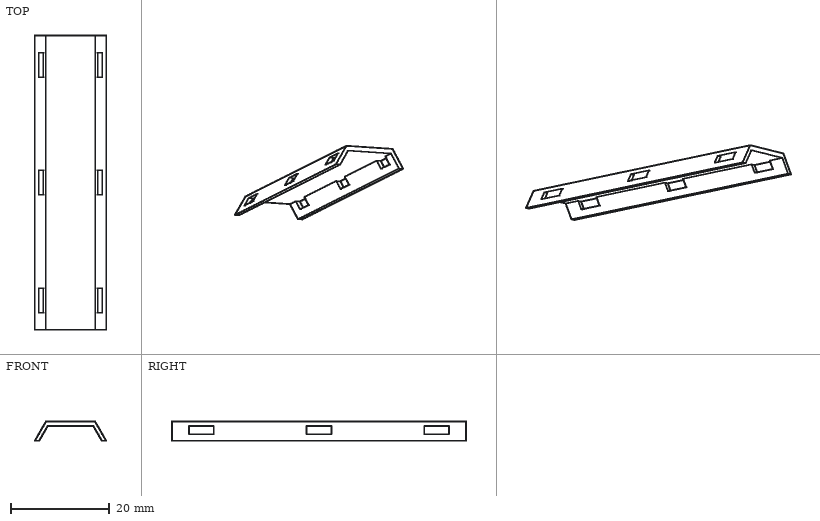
import cadquery as cq
import math

length = 60.0
height = 4.0
top_width = 10.0
top_thickness = 1.0
leg_angle = 60.0
leg_thickness = 0.8

slot_length = 5.0
slot_height = 1.6
slot_pitch = 24.0
slot_top = height - top_thickness

leg_width = leg_thickness / math.sin(math.radians(leg_angle))
leg_run_per_height = 1 / math.tan(math.radians(leg_angle))
base_width = top_width + 2 * height * leg_run_per_height


def half_width_at(z):
    """Distance from the centre plane to the outer leg face at height z."""
    return top_width / 2 + (height - z) * leg_run_per_height


def make_channel():
    """Extrude the splayed channel section along Y, centred on the origin."""
    inner_top = height - top_thickness
    outer_foot = half_width_at(0)
    inner_foot = outer_foot - leg_width
    inner_corner = half_width_at(inner_top) - leg_width
    section = [
        (-outer_foot, 0),
        (-top_width / 2, height),
        (top_width / 2, height),
        (outer_foot, 0),
        (inner_foot, 0),
        (inner_corner, inner_top),
        (-inner_corner, inner_top),
        (-inner_foot, 0),
    ]
    return cq.Workplane("XZ").polyline(section).close().extrude(length / 2, both=True)


def make_slot_cutter(y):
    """Box that opens the slots in both legs at position y along the channel."""
    slot_middle = slot_top - slot_height / 2
    return cq.Workplane("XY").box(base_width, slot_length, slot_height).translate((0, y, slot_middle))


result = make_channel()
for slot_y in (-slot_pitch, 0, slot_pitch):
    result = result.cut(make_slot_cutter(slot_y))